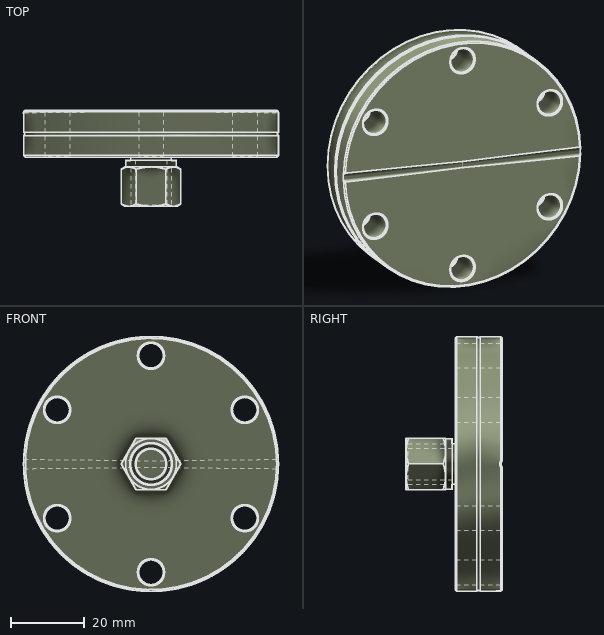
import cadquery as cq
import math

flange_diameter = 69.1
flange_thickness = 12.7
front_chamfer = 0.5
rear_chamfer = 0.4

groove_width = 1.0
groove_depth = 0.25

bolt_count = 6
first_bolt_angle = 90.0
bolt_circle_diameter = 58.7
bolt_hole_diameter = 6.7
bolt_mouth_diameter = 7.34
bolt_mouth_angle = 90.0

channel_diameter = 3.23
channel_middle_depth = 0.25
channel_rim_depth = 0.6
channel_overrun = 1.0

overall_length = 26.02
nut_across_flats = 14.0
collar_diameter = 13.8
collar_length = 1.75
nut_bore_diameter = 11.06
bore_chamfer = 0.25
corner_chamfer_angle = 30.0
hex_turn = 30.0

neck_diameter = nut_bore_diameter
neck_length = 0.8
pin_diameter = 8.5
pin_chamfer = 0.2
pin_recess = 0.3

nut_rear = flange_thickness + neck_length
hex_rear = nut_rear + collar_length
nut_front = overall_length
pin_front = nut_front - pin_recess


def cylinder(diameter, start, end):
    """Solid cylinder on the Y axis between two distances forward (-Y) of the rear face."""
    return (
        cq.Workplane("XZ", origin=(0, -start, 0))
        .circle(diameter / 2)
        .extrude(end - start)
    )


def make_disc():
    disc = cylinder(flange_diameter, 0, flange_thickness)
    disc = disc.faces("<Y").chamfer(front_chamfer)
    return disc.faces(">Y").chamfer(rear_chamfer)


def make_rim_groove():
    rim_radius = flange_diameter / 2
    groove_middle = -flange_thickness / 2
    half_width = groove_width / 2
    arc_radius = (half_width**2 + groove_depth**2) / (2 * groove_depth)
    arc_centre = rim_radius - groove_depth + arc_radius
    return (
        cq.Workplane("XY")
        .center(arc_centre, groove_middle)
        .circle(arc_radius)
        .revolve(360, (-arc_centre, 0, 0), (-arc_centre, 1, 0))
    )


def make_leak_channel():
    """Two round-bottomed grooves from the middle of the rear face, each deepening toward the rim."""
    radius = channel_diameter / 2
    length = flange_diameter / 2
    slope = math.degrees(math.atan((channel_rim_depth - channel_middle_depth) / length))
    axis_start = (0, radius - channel_middle_depth, 0)
    groove = cq.Workplane("YZ", origin=axis_start).circle(radius).extrude(length + channel_overrun)
    groove = groove.rotate((0, 0, 0), (0, 0, 1), -slope)
    return groove.union(groove.mirror("YZ"))


def make_flange():
    flange = make_disc().cut(make_rim_groove())

    for face in ("<Y", ">Y"):
        flange = (
            flange.faces(face)
            .workplane(origin=(0, 0, 0))
            .polarArray(bolt_circle_diameter / 2, first_bolt_angle, 360, bolt_count)
            .cskHole(bolt_hole_diameter, bolt_mouth_diameter, bolt_mouth_angle)
        )

    flange = flange.cut(make_leak_channel())

    neck = cylinder(neck_diameter, flange_thickness, nut_rear)
    pin = cylinder(pin_diameter, nut_rear, pin_front).faces("<Y").chamfer(pin_chamfer)
    return flange.union(neck).union(pin)


def make_corner_trim():
    """Turned envelope that bevels the hex corners at both ends of the hex."""
    corner_radius = nut_across_flats / math.sqrt(3)
    end_radius = collar_diameter / 2
    bevel = (corner_radius - end_radius) * math.tan(math.radians(corner_chamfer_angle))
    return (
        cq.Workplane("XY")
        .moveTo(0, -hex_rear)
        .lineTo(end_radius, -hex_rear)
        .lineTo(corner_radius, -hex_rear - bevel)
        .lineTo(corner_radius, -nut_front + bevel)
        .lineTo(end_radius, -nut_front)
        .lineTo(0, -nut_front)
        .close()
        .revolve(360, (0, 0, 0), (0, 1, 0))
    )


def make_nut():
    hexagon = (
        cq.Workplane("XZ", origin=(0, -hex_rear, 0))
        .polygon(6, nut_across_flats, circumscribed=True)
        .extrude(nut_front - hex_rear)
        .rotate((0, 0, 0), (0, 1, 0), hex_turn)
        .intersect(make_corner_trim())
    )
    nut = hexagon.union(cylinder(collar_diameter, nut_rear, hex_rear))
    nut = nut.cut(cylinder(pin_diameter, nut_rear, hex_rear))
    nut = nut.cut(cylinder(nut_bore_diameter, hex_rear, nut_front))
    bore_mouth = nut.faces("<Y").edges("%CIRCLE").edges(cq.selectors.RadiusNthSelector(0))
    return bore_mouth.chamfer(bore_chamfer)


flange = make_flange()
nut = make_nut()

result = cq.Compound.makeCompound([flange.val(), nut.val()])